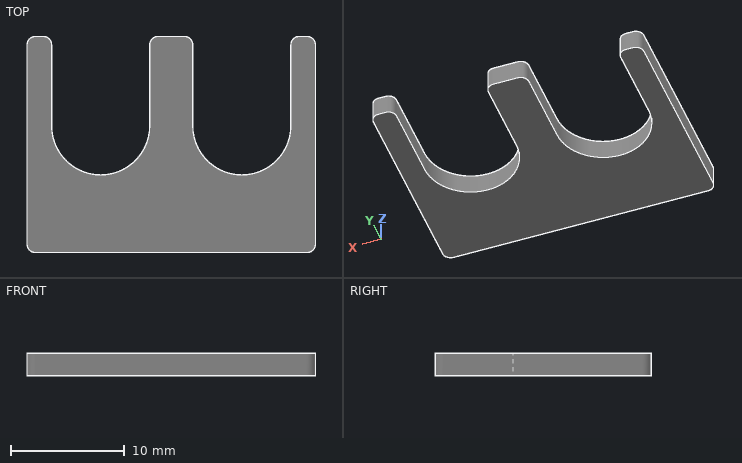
import cadquery as cq

length = 25.4
width = 19.05
thickness = 2.0
corner_radius = 0.75

slot_width = 8.6
slot_depth = 12.2
middle_prong_width = 3.8
slot_radius = slot_width / 2
slot_offset = (middle_prong_width + slot_width) / 2
slot_end_y = width / 2 - slot_depth + slot_radius


def slot_cutter(center_x):
    """Solid that cuts a straight slot with a semicircular closed end."""
    left = center_x - slot_radius
    right = center_x + slot_radius
    return (
        cq.Workplane("XY")
        .moveTo(left, width / 2)
        .lineTo(left, slot_end_y)
        .threePointArc((center_x, slot_end_y - slot_radius), (right, slot_end_y))
        .lineTo(right, width / 2)
        .close()
        .extrude(thickness)
    )


plate = cq.Workplane("XY").rect(length, width).extrude(thickness)
for center_x in (-slot_offset, slot_offset):
    plate = plate.cut(slot_cutter(center_x))

outer_corners = plate.edges("|Z and (>Y or <Y)")
result = outer_corners.fillet(corner_radius)